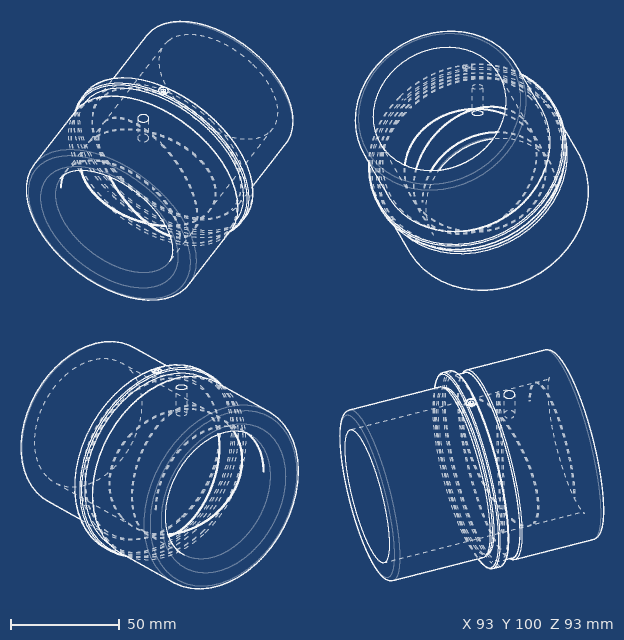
import cadquery as cq
import math

length = 100.0
front_y = -length / 2
rear_y = length / 2

body_radius = 45.0
relief_radius = 44.0
flange_radius = 46.5
neck_radius = 39.5
shank_radius = 40.5

relief_y = front_y + 41.0
flange_y = front_y + 47.0
flange_width = 5.0
neck_y = flange_y + flange_width
neck_width = 0.8

end_fillet = 2.0
body_chamfer = 0.8
flange_chamfer = 0.6
shank_chamfer_length = 1.4

bore_radius = 31.5
bore_mouth_fillet = 5.0

oil_hole_diameter = 5.0
oil_hole_y = front_y + 31.0

screw_diameter = 4.4
screw_recess = 0.5
socket_diameter = 2.4
socket_depth = 2.0

groove_width = 0.6
groove_depth = 0.2
groove_y = front_y + 35.3
groove_rises = (7.5, -9.2)
half_groove_y = front_y + 10.2


def make_sleeve():
    """Revolve the stepped wall around the Y axis."""
    arc_offset = math.sqrt(0.5)
    mouth_radius = bore_radius + bore_mouth_fillet
    mouth_mid = bore_mouth_fillet * arc_offset
    end_mid = end_fillet * arc_offset
    body_arc_radius = body_radius - end_fillet
    shank_arc_radius = shank_radius - end_fillet
    wall = (
        cq.Workplane("XY")
        .moveTo(bore_radius, rear_y)
        .lineTo(bore_radius, front_y + bore_mouth_fillet)
        .threePointArc(
            (mouth_radius - mouth_mid, front_y + bore_mouth_fillet - mouth_mid),
            (mouth_radius, front_y),
        )
        .lineTo(body_arc_radius, front_y)
        .threePointArc(
            (body_arc_radius + end_mid, front_y + end_fillet - end_mid),
            (body_radius, front_y + end_fillet),
        )
        .lineTo(body_radius, relief_y - body_chamfer)
        .lineTo(body_radius - body_chamfer, relief_y)
        .lineTo(relief_radius, relief_y)
        .lineTo(relief_radius, flange_y)
        .lineTo(flange_radius - flange_chamfer, flange_y)
        .lineTo(flange_radius, flange_y + flange_chamfer)
        .lineTo(flange_radius, neck_y - flange_chamfer)
        .lineTo(flange_radius - flange_chamfer, neck_y)
        .lineTo(neck_radius, neck_y)
        .lineTo(neck_radius, neck_y + neck_width)
        .lineTo(shank_radius, neck_y + neck_width + shank_chamfer_length)
        .lineTo(shank_radius, rear_y - end_fillet)
        .threePointArc(
            (shank_arc_radius + end_mid, rear_y - end_fillet + end_mid),
            (shank_arc_radius, rear_y),
        )
        .close()
    )
    return wall.revolve(360, (0, 0, 0), (0, 1, 0))


def make_oil_hole():
    """Radial hole from the bore up through the body."""
    return (
        cq.Workplane("XY")
        .center(0, oil_hole_y)
        .circle(oil_hole_diameter / 2)
        .extrude(body_radius)
    )


def make_screw_recess():
    """Recessed screw head with its hexagon socket, sunk into the flange rim."""
    screw_y = flange_y + flange_width / 2
    top = cq.Workplane("XY", origin=(0, screw_y, flange_radius))
    recess = top.circle(screw_diameter / 2).extrude(-screw_recess)
    socket = top.polygon(6, socket_diameter).extrude(-socket_depth)
    return recess.union(socket)


def make_groove_cylinder():
    """Cylinder that reaches to the bottom of the oil grooves."""
    return (
        cq.Workplane("XZ")
        .circle(bore_radius + groove_depth)
        .extrude(length / 2, both=True)
    )


def make_tilted_groove(rise):
    """Thin tilted slab trimmed to the groove cylinder."""
    tilt = math.degrees(math.atan2(rise, bore_radius))
    slab_size = 3 * bore_radius
    slab = (
        cq.Workplane("XY")
        .box(slab_size, groove_width, slab_size)
        .rotate((0, 0, 0), (0, 0, 1), tilt)
        .translate((0, groove_y, 0))
    )
    return slab.intersect(make_groove_cylinder())


def make_half_groove():
    """Thin square slab above the bore axis, trimmed to the groove cylinder."""
    slab_size = 3 * bore_radius
    slab = cq.Workplane("XY", origin=(0, half_groove_y, 0)).box(
        slab_size, groove_width, slab_size, centered=(True, True, False)
    )
    return slab.intersect(make_groove_cylinder())


result = make_sleeve().cut(make_oil_hole()).cut(make_screw_recess()).cut(make_half_groove())
for groove_rise in groove_rises:
    result = result.cut(make_tilted_groove(groove_rise))